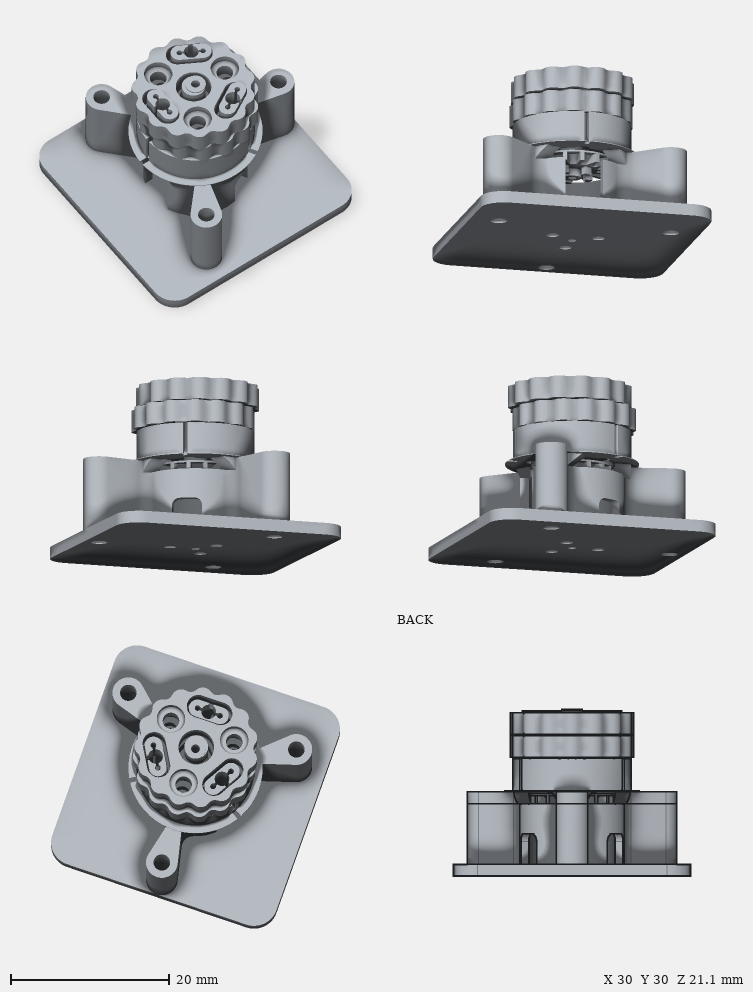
import cadquery as cq
import math

ARM_ANGLES = (90, 210, 330)
POST_ANGLES = (30, 150, 270)
WINDOW_ANGLES = (30, 150)

plate_top = 1.5
joint_z = 9.15
arm_top = 10.7
flange_top = 10.8
ceiling_z = 11.95
carrier_top = 14.9
post_top = 20.9

plate_side = 30.0
plate_corner_radius = 3.0
axle_hole_diameter = 1.1
plate_hole_diameter = 1.6
plate_hole_circle = 3.45

arm_circle = 13.0
arm_radius = 2.0
arm_hole_diameter = 2.1
arm_apex = 3.9

chamber_radius = 5.5
wall_radius = 6.6
arm_fillet = 1.5
front_gap_width = 4.9
window_width = 3.9
window_height = 3.9
window_corner_radius = 1.0

carrier_radius = 7.5
flange_radius = 8.5
roof_radius = 5.25
gusset_bottom_half_width = 0.9
gusset_top_half_width = 2.75
crank_bore_diameter = 3.3
screw_circle = 4.9
screw_hole_diameter = 1.0
post_circle = 5.13
post_length = 5.22
post_width = 2.22
wire_hole_diameter = 1.85
wire_slot_width = 0.6
lead_hole_diameter = 0.72
lead_hole_spacing = 3.0
throat_width = 0.35

eccentricity = 0.3
lobe_count = 15
disc_mean_radius = 7.53
roller_radius = 0.75
points_per_lobe = 20
disc_thickness = 2.75
lower_disc_z = 15.03
upper_disc_z = 17.95
disc_bore_diameter = 4.5
disc_hole_diameter = 2.1
disc_counterbore_diameter = 3.6
disc_counterbore_depth = 1.0
post_clearance = 0.35

crank_diameter = 3.0
crank_tip_diameter = 2.6
crank_tip_top = 21.1
fan_radius = 5.25
fan_top = 10.45
fan_disc_bottom = 10.2
fan_bottom = 9.15
fin_count = 15
fin_width = 0.5
fan_cone_radius = 4.2
hub_radius = 1.2
hub_bottom = 8.2
cone_root_radius = 3.15
finger_count = 5
finger_outer_radius = 2.8
finger_inner_radius = 1.95
finger_angle = 25.0


def cylinder(radius, bottom, top, x=0.0, y=0.0):
    """Upright cylinder between two heights."""
    return cq.Workplane("XY", origin=(x, y, bottom)).circle(radius).extrude(top - bottom)


def turned(body, angle):
    """Copy of a body drawn along +X, turned about the Z axis."""
    return body.rotate((0, 0, 0), (0, 0, 1), angle)


def arm(bottom, top):
    """Arm along +X: a round post with sides that taper toward the axis."""
    reach = arm_circle - arm_apex
    contact_angle = math.acos(arm_radius / reach)
    contact_x = arm_circle - arm_radius * math.cos(contact_angle)
    contact_y = arm_radius * math.sin(contact_angle)
    return (
        cq.Workplane("XY", origin=(0, 0, bottom))
        .moveTo(arm_apex, 0)
        .lineTo(contact_x, -contact_y)
        .threePointArc((arm_circle + arm_radius, 0), (contact_x, contact_y))
        .close()
        .extrude(top - bottom)
    )


def arm_fillet_web(bottom, top):
    """Webs along +X that blend both arm sides into the round wall."""
    taper = math.asin(arm_radius / (arm_circle - arm_apex))
    centre_distance = wall_radius + arm_fillet
    offset = arm_fillet / math.cos(taper) - arm_apex * math.tan(taper)
    swing = math.asin(offset * math.cos(taper) / centre_distance) + taper
    centre = (centre_distance * math.cos(swing), centre_distance * math.sin(swing))
    wall_point = (wall_radius * math.cos(swing), wall_radius * math.sin(swing))
    side_point = (
        centre[0] + arm_fillet * math.sin(taper),
        centre[1] - arm_fillet * math.cos(taper),
    )
    middle_angle = (swing + math.pi + taper + 1.5 * math.pi) / 2
    middle = (
        centre[0] + arm_fillet * math.cos(middle_angle),
        centre[1] + arm_fillet * math.sin(middle_angle),
    )
    web = (
        cq.Workplane("XY", origin=(0, 0, bottom))
        .moveTo(chamber_radius, 0)
        .lineTo(side_point[0], 0)
        .lineTo(*side_point)
        .threePointArc(middle, wall_point)
        .close()
        .extrude(top - bottom)
    )
    return web.union(web.mirror("XZ"))


def make_base_plate():
    plate = (
        cq.Workplane("XY")
        .rect(plate_side, plate_side)
        .extrude(plate_top)
        .edges("|Z")
        .fillet(plate_corner_radius)
    )
    plate = plate.cut(cylinder(axle_hole_diameter / 2, 0, plate_top))
    for angle in ARM_ANGLES:
        plate = plate.cut(turned(cylinder(arm_hole_diameter / 2, 0, plate_top, arm_circle), angle))
        plate = plate.cut(turned(cylinder(plate_hole_diameter / 2, 0, plate_top, plate_hole_circle), angle))
    return plate


def lower_window():
    """Arched wire window along +X, open at the base plate."""
    arch = cq.Workplane("XY").box(wall_radius, window_width, 2 * window_height)
    arch = arch.edges("|X and >Z").fillet(window_corner_radius)
    return arch.translate((wall_radius, 0, plate_top))


def make_lower_housing():
    housing = cylinder(wall_radius, plate_top, joint_z)
    for angle in ARM_ANGLES:
        housing = housing.union(turned(arm(plate_top, joint_z), angle))
        housing = housing.union(turned(arm_fillet_web(plate_top, joint_z), angle))
    housing = housing.cut(cylinder(chamber_radius, plate_top, joint_z))
    for angle in ARM_ANGLES:
        housing = housing.cut(turned(cylinder(arm_hole_diameter / 2, plate_top, joint_z, arm_circle), angle))
    for angle in WINDOW_ANGLES:
        housing = housing.cut(turned(lower_window(), angle))
    front_gap = cq.Workplane("XY", origin=(0, -wall_radius, plate_top)).rect(front_gap_width, wall_radius)
    return housing.cut(front_gap.extrude(joint_z - plate_top))


def gusset():
    """Support along +X under the flange, with sides that flare upward."""
    profile = [
        (-gusset_bottom_half_width, joint_z),
        (gusset_bottom_half_width, joint_z),
        (gusset_top_half_width, arm_top),
        (-gusset_top_half_width, arm_top),
    ]
    wedge = cq.Workplane("YZ").polyline(profile).close().extrude(carrier_radius)
    return wedge.intersect(cylinder(carrier_radius, joint_z, arm_top))


def upper_arm():
    """Arm along +X with its fillet webs, which end at the carrier wall."""
    webs = arm_fillet_web(joint_z, arm_top).cut(cylinder(carrier_radius, joint_z, arm_top))
    return arm(joint_z, arm_top).union(webs)


def drive_post():
    """Obround post along +X on top of the carrier."""
    return (
        cq.Workplane("XY", origin=(post_circle, 0, carrier_top))
        .slot2D(post_length, post_width, 90)
        .extrude(post_top - carrier_top)
    )


def keyhole():
    """Pair of lead holes beside the wire hole, joined to it by narrow throats."""
    height = post_top - ceiling_z
    outline = cq.Workplane("XY", origin=(post_circle, 0, ceiling_z))
    throat = outline.rect(throat_width, lead_hole_spacing).extrude(height)
    holes = outline.pushPoints([(0, -lead_hole_spacing / 2), (0, lead_hole_spacing / 2)])
    holes = throat.union(holes.circle(lead_hole_diameter / 2).extrude(height))
    reach = lead_hole_spacing
    funnel = [
        (0, ceiling_z),
        (reach, ceiling_z + reach),
        (reach, post_top),
        (-reach, post_top),
        (-reach, ceiling_z + reach),
    ]
    return holes.intersect(cq.Workplane("YZ").polyline(funnel).close().extrude(carrier_radius))


def wire_slot():
    """Slot along +X from the wire hole to the rim, with a floor that falls outward at 45 degrees."""
    slot_reach = flange_radius + wire_slot_width
    slope_start = post_circle + wire_hole_diameter / 2
    profile = [
        (post_circle, ceiling_z),
        (slope_start, ceiling_z),
        (slope_start + ceiling_z - arm_top, arm_top),
        (slot_reach, arm_top),
        (slot_reach, post_top),
        (post_circle, post_top),
    ]
    return cq.Workplane("XZ").polyline(profile).close().extrude(wire_slot_width / 2, both=True)


def wire_passage():
    """Wire hole along +X with its lead holes and radial slot."""
    hole = cylinder(wire_hole_diameter / 2, arm_top, post_top, post_circle)
    return hole.union(keyhole()).union(wire_slot())


def make_upper_housing():
    housing = cylinder(carrier_radius, arm_top, carrier_top)
    housing = housing.union(cylinder(flange_radius, arm_top, flange_top))
    for angle in ARM_ANGLES:
        housing = housing.union(turned(upper_arm(), angle))
        housing = housing.union(turned(gusset(), angle))
    housing = housing.cut(cylinder(chamber_radius, joint_z, arm_top))
    housing = housing.cut(cylinder(roof_radius, arm_top, ceiling_z))
    housing = housing.cut(cylinder(crank_bore_diameter / 2, ceiling_z, carrier_top))
    for angle in ARM_ANGLES:
        housing = housing.cut(turned(cylinder(arm_hole_diameter / 2, joint_z, arm_top, arm_circle), angle))
        housing = housing.cut(
            turned(cylinder(screw_hole_diameter / 2, ceiling_z, carrier_top, screw_circle), angle)
        )
    for angle in POST_ANGLES:
        housing = housing.union(turned(drive_post(), angle))
        housing = housing.cut(turned(wire_passage(), angle))
    return housing


def cycloid_point(t):
    """Point of the lobed outline that rolls inside a ring of rollers."""
    roller_count = lobe_count + 1
    ring_radius = disc_mean_radius + roller_radius
    phase = lobe_count * t
    tilt = math.atan2(-math.sin(phase), ring_radius / (eccentricity * roller_count) - math.cos(phase))
    x = ring_radius * math.cos(t) - roller_radius * math.cos(t + tilt)
    y = ring_radius * math.sin(t) - roller_radius * math.sin(t + tilt)
    wobble_x = eccentricity * math.cos(roller_count * t)
    wobble_y = eccentricity * math.sin(roller_count * t)
    return (x - wobble_x, y - wobble_y)


def make_disc(bottom, offset_y):
    """Cycloidal disc whose centre is moved along Y by the eccentricity."""
    top = bottom + disc_thickness
    count = lobe_count * points_per_lobe
    outline = [cycloid_point(2 * math.pi * i / count) for i in range(count)]
    disc = cq.Workplane("XY", origin=(0, 0, bottom)).spline(outline, periodic=True).close()
    disc = turned(disc.extrude(disc_thickness), -90)
    disc = disc.cut(cylinder(disc_bore_diameter / 2, bottom, top))
    for angle in ARM_ANGLES:
        disc = disc.cut(turned(cylinder(disc_hole_diameter / 2, bottom, top, screw_circle), angle))
        counterbore = cylinder(
            disc_counterbore_diameter / 2, top - disc_counterbore_depth, top, screw_circle
        )
        disc = disc.cut(turned(counterbore, angle))
    for angle in POST_ANGLES:
        opening = (
            cq.Workplane("XY", origin=(post_circle, 0, bottom))
            .slot2D(post_length + 2 * post_clearance, post_width + 2 * post_clearance, 90)
            .extrude(disc_thickness)
        )
        disc = disc.cut(turned(opening, angle))
    return disc.translate((0, offset_y, 0))


def finger():
    """Curved finger on +X that hangs below the fan."""
    half_height = finger_outer_radius * math.tan(math.radians(finger_angle / 2))
    sector = (
        cq.Workplane("XY", origin=(0, 0, hub_bottom))
        .polyline([(0, 0), (finger_outer_radius, -half_height), (finger_outer_radius, half_height)])
        .close()
        .extrude(fan_bottom - hub_bottom)
    )
    sector = sector.intersect(cylinder(finger_outer_radius, hub_bottom, fan_bottom))
    return sector.cut(cylinder(finger_inner_radius, hub_bottom, fan_bottom))


def make_crank():
    """Crank with two opposed eccentrics, carried by a radial fan."""
    crank_radius = crank_diameter / 2
    lobe_split = (lower_disc_z + disc_thickness + upper_disc_z) / 2
    crank = cylinder(crank_radius, fan_top, lower_disc_z)
    crank = crank.union(cylinder(crank_radius, lower_disc_z, lobe_split, 0, eccentricity))
    crank = crank.union(cylinder(crank_radius, lobe_split, post_top, 0, -eccentricity))
    crank = crank.union(cylinder(crank_tip_diameter / 2, post_top, crank_tip_top))

    fan_profile = [
        (0, hub_bottom),
        (hub_radius, hub_bottom),
        (hub_radius, fan_bottom),
        (cone_root_radius, fan_bottom),
        (fan_cone_radius, fan_disc_bottom),
        (fan_radius, fan_disc_bottom),
        (fan_radius, fan_top),
        (0, fan_top),
    ]
    crank = crank.union(cq.Workplane("XZ").polyline(fan_profile).close().revolve(360, (0, 0), (0, 1)))
    fin = (
        cq.Workplane("XY", origin=((cone_root_radius + fan_radius) / 2, 0, fan_bottom))
        .rect(fan_radius - cone_root_radius + fin_width, fin_width)
        .extrude(fan_disc_bottom - fan_bottom)
        .intersect(cylinder(fan_radius, fan_bottom, fan_disc_bottom))
    )
    for i in range(fin_count):
        crank = crank.union(turned(fin, -90 + 360 * i / fin_count))

    for i in range(finger_count):
        crank = crank.union(turned(finger(), -90 + 360 * (i + 0.5) / finger_count))
    return crank.cut(cylinder(axle_hole_diameter / 2, hub_bottom, crank_tip_top))


base_plate = make_base_plate()
lower_housing = make_lower_housing()
upper_housing = make_upper_housing()
lower_disc = make_disc(lower_disc_z, eccentricity)
upper_disc = make_disc(upper_disc_z, -eccentricity)
crank = make_crank()

result = cq.Compound.makeCompound(
    [
        base_plate.solids().val(),
        lower_housing.solids().val(),
        upper_housing.solids().val(),
        lower_disc.solids().val(),
        upper_disc.solids().val(),
        crank.solids().val(),
    ]
)